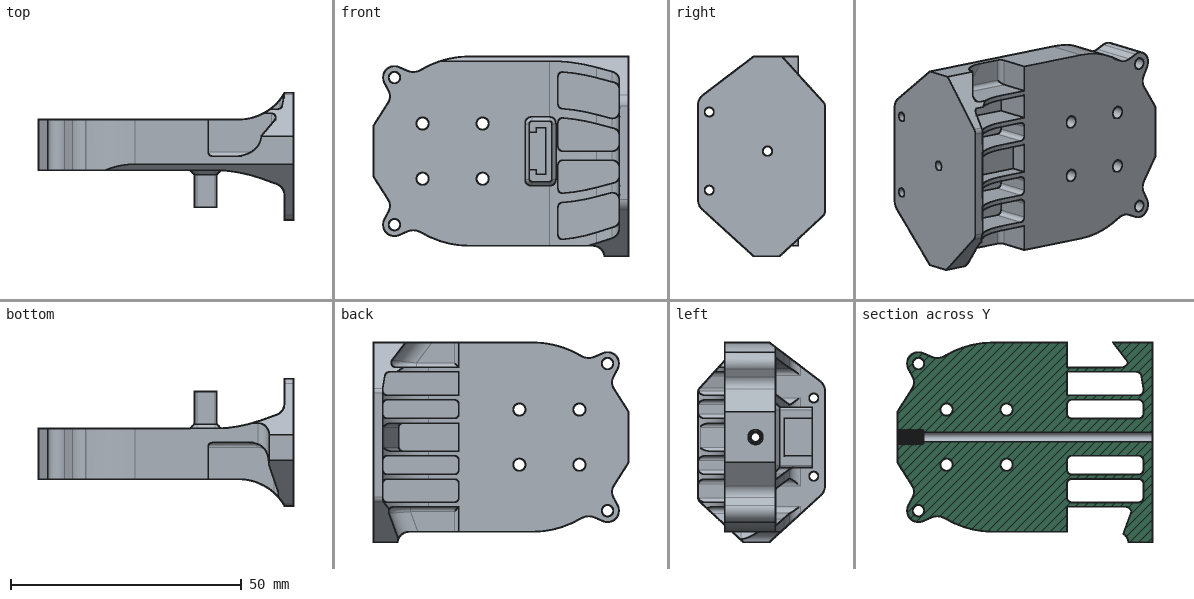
import cadquery as cq
import math


length = 55.4
plate_depth = 11.0
half_height = 20.55
round_center_x = 20.9
round_start_x = 10.3
nose_half_height = 5.5
nose_notch = (4.0, 11.75)
nose_notch_radius = 2.55
shoulder_notch = (8.75, 16.85)
shoulder_notch_radius = 3.3
ear_center = (4.6, 15.95)
ear_radius = 2.5
ear_hole_diameter = 2.45
motor_hole_diameter = 2.6
motor_hole_xs = (10.7, 23.7)
motor_hole_z = 6.0

flange_thickness = 2.05
flange_face_x = length - flange_thickness
flange_front_y = -10.8
flange_back_y = 16.85
flange_bottom_z = -22.8
flange_front_radius = 3.0
flange_back_radius = 1.5
front_chamfer_y = 1.35
front_top_slope = 0.76
front_bottom_slope = 0.91
top_chamfer_back_y = 7.4
back_top_slope = 1.1
bottom_chamfer_back_y = 6.9
back_bottom_slope = 0.93
flange_hole_diameter = 1.95
flange_hole_y = -8.3
flange_hole_z = 8.5
bottom_flare_radius = 2.5
bottom_flare_x = 47.65

block_start_x = 36.85
front_curve_x = 38.1
front_line_x = 48.3
front_curve_drop = 1.8
front_fillet_radius = 2.5
back_curve_x = 43.5
back_curve_radius = 11.4

pocket_start_x = 40.05
pocket_left_radius = 1.0
pocket_right_radius = 1.5
front_rib = 2.0
upper_rib_top_z = 9.3
top_pocket_height = 8.0
lower_rib_top_z = -9.25
bottom_pocket_end_z = -19.3

bay_floor_y = 3.05
bay_radius = 1.0
back_rib = 1.0
back_rib_zs = (3.55, 8.6, 14.6)
lean_start_z = 10.7
lean_end_x = 52.75
center_floor_y = 7.2
center_ramp_start_x = 49.85
center_ramp_end = (53.1, 16.25)
center_corner_radius = 0.9
top_notch_end_x = 48.35
bottom_notch_end_x = 50.5
notch_end_floor_x = 52.5
notch_end_radius = 4.5

connector_start_x = 33.85
connector_end_x = 38.7
connector_z = -0.05
connector_half_height = 6.55
connector_height = 8.05
connector_corner = 0.5
skirt = 0.95
slot_mouth_half = 4.05
slot_half = 5.05
slot_lip_x = 35.35
slot_end_x = 37.4
slot_floor_y = -1.95

bore_y = 4.3
bore_diameter = 2.0
thread_major_diameter = 3.2
thread_minor_diameter = 2.45
thread_pitch = 0.5
thread_turns = 12


def box(x0, x1, y0, y1, z0, z1):
    size = (x1 - x0, y1 - y0, z1 - z0)
    return cq.Workplane("XY").box(*size, centered=False).translate((x0, y0, z0))


def xz_sketch(y=0):
    """Sketch plane facing -Y, with X to the right and Z up."""
    return cq.Workplane("XZ", origin=(0, y, 0))


def tangent_point(point, side):
    """Point where the line from a point touches the ear circle; side is +1 or -1."""
    dx = point[0] - ear_center[0]
    dz = point[1] - ear_center[1]
    angle = math.atan2(dz, dx) + side * math.acos(ear_radius / math.hypot(dx, dz))
    return (ear_center[0] + ear_radius * math.cos(angle),
            ear_center[1] + ear_radius * math.sin(angle))


def mirrored(point):
    return (point[0], -point[1])


def depth_edge_at(x, z):
    """Selector for the edge that runs along Y through (x, z)."""
    near = 0.005
    return cq.selectors.BoxSelector((x - near, -plate_depth, z - near),
                                    (x + near, 2 * plate_depth, z + near))


def make_plate():
    ear_tip_offset = ear_radius / math.sqrt(2)
    ear_tip = (ear_center[0] - ear_tip_offset, ear_center[1] + ear_tip_offset)
    nose_side = tangent_point(nose_notch, -1)
    shoulder_side = tangent_point(shoulder_notch, 1)
    round_start_z = math.sqrt(half_height**2 - (round_center_x - round_start_x)**2)
    round_start = (round_start_x, round_start_z)
    middle_angle = (math.pi / 2 + math.atan2(round_start_z, round_start_x - round_center_x)) / 2
    round_middle = (round_center_x + half_height * math.cos(middle_angle),
                    half_height * math.sin(middle_angle))
    round_end = (round_center_x, half_height)

    plate = (
        xz_sketch()
        .moveTo(0, -nose_half_height)
        .lineTo(0, nose_half_height)
        .lineTo(*nose_notch)
        .lineTo(*nose_side)
        .threePointArc(ear_tip, shoulder_side)
        .lineTo(*shoulder_notch)
        .lineTo(*round_start)
        .threePointArc(round_middle, round_end)
        .lineTo(block_start_x, half_height)
        .lineTo(block_start_x, -half_height)
        .lineTo(*mirrored(round_end))
        .threePointArc(mirrored(round_middle), mirrored(round_start))
        .lineTo(*mirrored(shoulder_notch))
        .lineTo(*mirrored(shoulder_side))
        .threePointArc(mirrored(ear_tip), mirrored(nose_side))
        .lineTo(*mirrored(nose_notch))
        .close()
        .extrude(-plate_depth)
    )
    for x, z in (nose_notch, mirrored(nose_notch)):
        plate = plate.edges(depth_edge_at(x, z)).fillet(nose_notch_radius)
    for x, z in (shoulder_notch, mirrored(shoulder_notch)):
        plate = plate.edges(depth_edge_at(x, z)).fillet(shoulder_notch_radius)

    chamfer = (
        cq.Workplane("YZ")
        .polyline([(front_chamfer_y, half_height), (0, half_height),
                   (0, half_height - front_chamfer_y * front_top_slope)])
        .close()
        .extrude(block_start_x)
    )
    return plate.cut(chamfer)


def flange_outline():
    """Eight-sided flange section, extruded over the length of the transition block."""
    front_run = front_chamfer_y - flange_front_y
    points = [
        (flange_front_y, half_height - front_run * front_top_slope),
        (front_chamfer_y, half_height),
        (top_chamfer_back_y, half_height),
        (flange_back_y, half_height - (flange_back_y - top_chamfer_back_y) * back_top_slope),
        (flange_back_y,
         flange_bottom_z + (flange_back_y - bottom_chamfer_back_y) * back_bottom_slope),
        (bottom_chamfer_back_y, flange_bottom_z),
        (front_chamfer_y, flange_bottom_z),
        (flange_front_y, flange_bottom_z + front_run * front_bottom_slope),
    ]
    outline = (
        cq.Workplane("YZ", origin=(block_start_x, 0, 0))
        .polyline(points)
        .close()
        .extrude(length - block_start_x)
    )
    outline = outline.edges("|X").edges("<Y").fillet(flange_front_radius)
    return outline.edges("|X").edges(">Y").fillet(flange_back_radius)


def transition_block():
    """Block that sweeps from the plate thickness out to the full flange."""
    angle = 2 * math.atan(front_curve_drop / (front_line_x - front_curve_x))
    curve_radius = (front_line_x - front_curve_x) / math.sin(angle)
    curve_middle = (curve_radius * math.sin(angle / 2), curve_radius * (1 - math.cos(angle / 2)))
    fillet_x = flange_face_x - front_fillet_radius * (1 - math.sin(angle))
    fillet_y = -front_curve_drop - (fillet_x - front_line_x) * math.tan(angle)
    fillet_end_y = fillet_y - front_fillet_radius * math.cos(angle)
    fillet_middle_angle = (math.pi / 2 - angle) / 2
    fillet_middle = (
        flange_face_x - front_fillet_radius * (1 - math.cos(fillet_middle_angle)),
        fillet_end_y + front_fillet_radius * math.sin(fillet_middle_angle),
    )
    back_sweep = math.asin((flange_face_x - back_curve_x) / back_curve_radius)
    back_end_y = plate_depth + back_curve_radius * (1 - math.cos(back_sweep))
    back_middle = (back_curve_x + back_curve_radius * math.sin(back_sweep / 2),
                   plate_depth + back_curve_radius * (1 - math.cos(back_sweep / 2)))

    block = (
        cq.Workplane("XY", origin=(0, 0, flange_bottom_z))
        .moveTo(block_start_x, 0)
        .lineTo(front_curve_x, 0)
        .threePointArc((front_curve_x + curve_middle[0], -curve_middle[1]),
                       (front_line_x, -front_curve_drop))
        .lineTo(fillet_x, fillet_y)
        .threePointArc(fillet_middle, (flange_face_x, fillet_end_y))
        .lineTo(flange_face_x, flange_front_y)
        .lineTo(length, flange_front_y)
        .lineTo(length, flange_back_y)
        .lineTo(flange_face_x, flange_back_y)
        .lineTo(flange_face_x, back_end_y)
        .threePointArc(back_middle, (back_curve_x, plate_depth))
        .lineTo(block_start_x, plate_depth)
        .close()
        .extrude(half_height - flange_bottom_z)
    )
    return block.intersect(flange_outline())


def bottom_flare_cut():
    """Space below the plate, ending in a concave sweep down to the flange."""
    drop = -half_height - flange_bottom_z
    sweep = math.acos(1 - drop / bottom_flare_radius)
    middle = (bottom_flare_x + bottom_flare_radius * math.sin(sweep / 2),
              -half_height - bottom_flare_radius * (1 - math.cos(sweep / 2)))
    end = (bottom_flare_x + bottom_flare_radius * math.sin(sweep), flange_bottom_z)
    return (
        xz_sketch(flange_back_y)
        .moveTo(block_start_x, -half_height)
        .lineTo(bottom_flare_x, -half_height)
        .threePointArc(middle, end)
        .lineTo(block_start_x, flange_bottom_z)
        .close()
        .extrude(flange_back_y - flange_front_y)
    )


def pocket_wall(start_z, slope):
    """Wall points: start, arc middle, arc end, flange end. Slope 0 gives a straight wall."""
    drop = front_curve_drop * slope
    run = front_line_x - pocket_start_x
    full_run = front_line_x - front_curve_x
    start_drop = drop * ((pocket_start_x - front_curve_x) / full_run)**2
    middle_drop = drop * ((pocket_start_x + run / 2 - front_curve_x) / full_run)**2
    end_drop = drop + (flange_face_x - front_line_x) * 2 * drop / full_run
    return [
        (pocket_start_x, start_z - start_drop),
        (pocket_start_x + run / 2, start_z - middle_drop),
        (front_line_x, start_z - drop),
        (flange_face_x, start_z - end_drop),
    ]


def front_pocket(top_z, top_slope, bottom_z, bottom_slope):
    """Pocket down to the plate face between two ribs; its right end lies on the flange."""
    top = pocket_wall(top_z, top_slope)
    bottom = pocket_wall(bottom_z, bottom_slope)
    sketch = xz_sketch().moveTo(*top[0])
    if top_slope:
        sketch = sketch.threePointArc(top[1], top[2])
    sketch = sketch.lineTo(*top[3]).lineTo(*bottom[3])
    if bottom_slope:
        sketch = sketch.lineTo(*bottom[2]).threePointArc(bottom[1], bottom[0])
    else:
        sketch = sketch.lineTo(*bottom[0])
    pocket = sketch.close().extrude(-flange_front_y)
    pocket = pocket.edges("|Y").edges("<X").fillet(pocket_left_radius)
    return pocket.edges("|Y").edges(">X").fillet(pocket_right_radius)


def front_pockets():
    upper = front_top_slope
    lower = -front_top_slope
    top_pocket = front_pocket(upper_rib_top_z + top_pocket_height, upper, upper_rib_top_z, upper)
    second = front_pocket(upper_rib_top_z - front_rib, upper, 0, 0)
    third = front_pocket(-front_rib, 0, lower_rib_top_z, lower)
    bottom_pocket = front_pocket(lower_rib_top_z - front_rib, lower,
                                 bottom_pocket_end_z, -front_bottom_slope)
    return [top_pocket, second, third, bottom_pocket]


def back_bay(bottom_z, top_z):
    """Bay between two back ribs, open to the back and rounded at its corners."""
    bay = box(block_start_x, flange_face_x, bay_floor_y, flange_back_y, bottom_z, top_z)
    return bay.edges("|Y").fillet(bay_radius)


def top_bay(bottom_z, top_z):
    """Like the other bays, but its end wall leans over towards the plate at the top."""
    bay = (
        xz_sketch(flange_back_y)
        .polyline([(block_start_x, bottom_z), (flange_face_x, bottom_z),
                   (flange_face_x, lean_start_z), (lean_end_x, top_z), (block_start_x, top_z)])
        .close()
        .extrude(flange_back_y - bay_floor_y)
    )
    for x, z in ((flange_face_x, bottom_z), (lean_end_x, top_z)):
        bay = bay.edges(depth_edge_at(x, z)).fillet(bay_radius)
    return bay


def center_bay():
    """Shallower bay over the bore, with a ramp up to the flange."""
    half = back_rib_zs[0] - back_rib / 2
    ramp_x, ramp_y = center_ramp_end
    ramp_slope = (ramp_x - center_ramp_start_x) / (ramp_y - center_floor_y)
    top_x = ramp_x + ramp_slope * (flange_back_y - ramp_y)
    bay = (
        cq.Workplane("XY", origin=(0, 0, -half))
        .polyline([(block_start_x, center_floor_y), (center_ramp_start_x, center_floor_y),
                   (top_x, flange_back_y), (block_start_x, flange_back_y)])
        .close()
        .extrude(2 * half)
    )
    return bay.faces(">X").edges("not |Z").fillet(center_corner_radius)


def edge_notch(end_rim_x):
    """Open notch above the outermost rib, with an end wall that leans over its floor.

    end_rim_x is where the end wall meets the top face of the plate.
    """
    floor_z = back_rib_zs[-1] + back_rib / 2
    outer_z = -flange_bottom_z
    lean = (notch_end_floor_x - end_rim_x) / (half_height - floor_z)
    outer_x = notch_end_floor_x - lean * (outer_z - floor_z)
    notch = (
        xz_sketch(flange_back_y)
        .polyline([(block_start_x, floor_z), (notch_end_floor_x, floor_z),
                   (outer_x, outer_z), (block_start_x, outer_z)])
        .close()
        .extrude(flange_back_y - bay_floor_y)
    )
    notch = notch.faces("<Y").edges(">X").fillet(notch_end_radius)
    notch = notch.faces("<Z").edges("not(<X or >Y)").fillet(bay_radius)
    corner_limit = box(block_start_x, length, bay_floor_y, flange_back_y, 0, outer_z)
    corner_limit = corner_limit.edges("|Z and <X and <Y").fillet(bay_radius)
    return notch.intersect(corner_limit)


def back_cuts():
    top_notch = edge_notch(top_notch_end_x)
    bottom_notch = edge_notch(bottom_notch_end_x).mirror("XY")
    inner, middle, outer = back_rib_zs
    middle_bay = back_bay(inner + back_rib / 2, middle - back_rib / 2)
    outer_limits = (middle + back_rib / 2, outer - back_rib / 2)
    bottom_bay = back_bay(*outer_limits).mirror("XY")
    return [
        center_bay(),
        middle_bay,
        middle_bay.mirror("XY"),
        top_bay(*outer_limits),
        bottom_bay,
        top_notch,
        bottom_notch,
    ]


def connector():
    middle_x = (connector_start_x + connector_end_x) / 2
    width = connector_end_x - connector_start_x
    height = 2 * connector_half_height
    tower = (
        xz_sketch()
        .center(middle_x, connector_z)
        .rect(width, height)
        .extrude(connector_height)
        .edges("|Y")
        .fillet(connector_corner)
    )
    embed = skirt
    base = (
        xz_sketch(embed)
        .center(middle_x, connector_z)
        .rect(width + 2 * skirt, height + 2 * skirt)
        .extrude(embed + skirt)
        .edges("|Y")
        .fillet(skirt + connector_corner)
        .faces("<Y")
        .chamfer(skirt)
    )
    return tower.union(base)


def connector_slot():
    mouth = box(connector_start_x, slot_lip_x, -connector_height, slot_floor_y,
                -slot_mouth_half, slot_mouth_half)
    channel = box(slot_lip_x, slot_end_x, -connector_height, slot_floor_y, -slot_half, slot_half)
    return mouth.union(channel)


def holes():
    def along_y(diameter, points):
        return xz_sketch().pushPoints(points).circle(diameter / 2).extrude(-plate_depth)

    def along_x(diameter, points, start, depth):
        plane = cq.Workplane("YZ", origin=(start, 0, 0))
        return plane.pushPoints(points).circle(diameter / 2).extrude(depth)

    motor_points = [(x, z) for x in motor_hole_xs for z in (-motor_hole_z, motor_hole_z)]
    flange_points = [(flange_hole_y, z) for z in (-flange_hole_z, flange_hole_z)]
    bore = [(bore_y, 0)]
    return [
        along_y(ear_hole_diameter, [ear_center, mirrored(ear_center)]),
        along_y(motor_hole_diameter, motor_points),
        along_x(flange_hole_diameter, flange_points, flange_face_x, flange_thickness),
        along_x(bore_diameter, bore, 0, length),
    ]


def nose_thread():
    """Thread in the nose end of the bore, made as a row of V-shaped rings."""
    minor_radius = thread_minor_diameter / 2
    profile = [(0, 0)]
    for turn in range(thread_turns):
        profile.append((turn * thread_pitch, thread_major_diameter / 2))
        profile.append(((turn + 0.5) * thread_pitch, minor_radius))
    profile.append(((thread_turns - 0.5) * thread_pitch, 0))
    outline = cq.Workplane("XY").polyline(profile).close()
    return outline.revolve(360, (0, 0, 0), (1, 0, 0)).translate((0, bore_y, 0))


result = make_plate().union(transition_block()).cut(bottom_flare_cut())
for cutter in front_pockets() + back_cuts():
    result = result.cut(cutter)
result = result.union(connector()).cut(connector_slot())
for hole in holes() + [nose_thread()]:
    result = result.cut(hole)